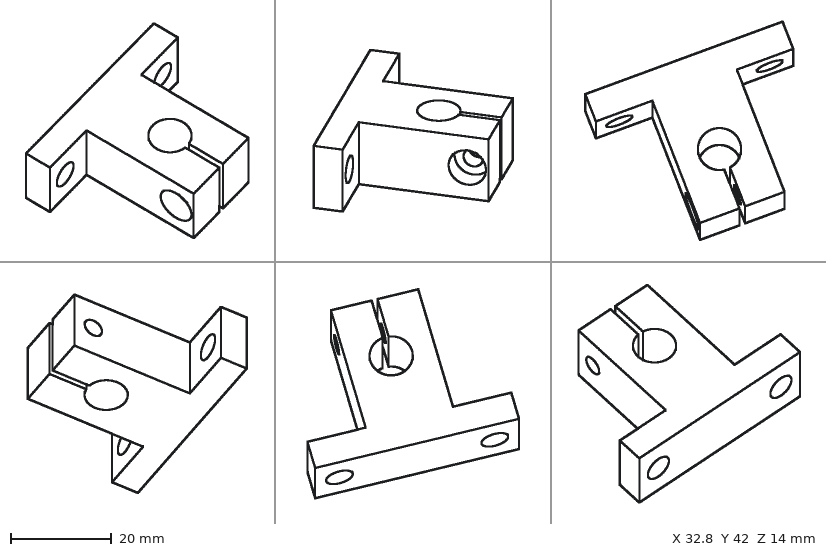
import cadquery as cq

length = 32.8
flange_width = 42.0
height = 14.0

flange_thickness = 6.0
mount_hole_diameter = 5.5
mount_hole_spacing = 32.0

block_width = 18.0
bore_diameter = 8.6
bore_x = 20.0
slit_width = 1.2

screw_x = 28.4
screw_diameter = 4.0
counterbore_diameter = 7.7
counterbore_depth = 4.4


def make_body():
    """T-shaped body: the flange stands on X = 0 and the block extends toward +X."""
    flange = cq.Workplane("XY").box(
        flange_thickness, flange_width, height, centered=(False, True, True)
    )
    block = cq.Workplane("XY").box(length, block_width, height, centered=(False, True, True))
    return flange.union(block)


def cut_mount_holes(body):
    """Two through holes along X near the ends of the flange."""
    holes = (
        cq.Workplane("YZ")
        .pushPoints([(side * mount_hole_spacing / 2, 0) for side in (-1, 1)])
        .circle(mount_hole_diameter / 2)
        .extrude(flange_thickness)
    )
    return body.cut(holes)


def cut_shaft_clamp(body):
    """Vertical shaft bore, and the slit that opens it to the +X end."""
    bore = (
        cq.Workplane("XY", origin=(bore_x, 0, 0))
        .circle(bore_diameter / 2)
        .extrude(height / 2, both=True)
    )
    slit = (
        cq.Workplane("XY")
        .box(length - bore_x, slit_width, height, centered=(False, True, True))
        .translate((bore_x, 0, 0))
    )
    return body.cut(bore).cut(slit)


def cut_screw_hole(body):
    """Clamp screw hole across the slit, sunk from the -Y face."""
    screw_face = cq.Workplane("XZ", origin=(screw_x, -block_width / 2, 0))
    clearance = screw_face.circle(screw_diameter / 2).extrude(-block_width)
    counterbore = screw_face.circle(counterbore_diameter / 2).extrude(-counterbore_depth)
    return body.cut(clearance).cut(counterbore)


result = cut_screw_hole(cut_shaft_clamp(cut_mount_holes(make_body())))